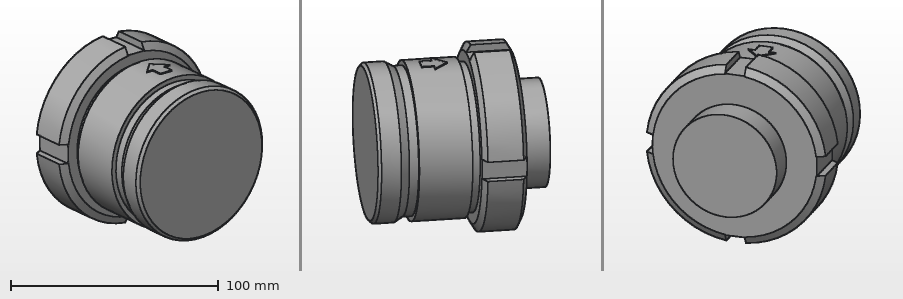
import cadquery as cq
import math

stub_length = 14.0
collar_width = 22.0
neck_length = 4.0
sleeve_length = 26.0
groove_floor_length = 4.5
collar_end = stub_length + collar_width
neck_end = collar_end + neck_length
sleeve_end = neck_end + sleeve_length
groove_end = sleeve_end + groove_floor_length
overall_length = 86.0

stub_radius = 26.5
collar_radius = 46.0
sleeve_radius = 39.0
groove_radius = 36.5

slot_count = 4
slot_width = 10.0
slot_depth = 4.0
slot_floor_radius = collar_radius - slot_depth

slope_angle = math.radians(30)
bevel_width = slot_depth * math.tan(slope_angle)
ramp_length = (sleeve_radius - groove_radius) / math.tan(slope_angle)
rim_chamfer = 1.5

arrow_tip = 46.0
arrow_head_length = 7.0
arrow_head_half_width = 7.0
arrow_shaft_length = 6.0
arrow_shaft_half_width = 3.5
arrow_thickness = 0.5


def make_turned_body():
    """Collar, neck, sleeve, groove and rim turned as one profile about X."""
    profile = [
        (stub_length, 0),
        (stub_length, slot_floor_radius),
        (stub_length + bevel_width, collar_radius),
        (collar_end - bevel_width, collar_radius),
        (collar_end, slot_floor_radius),
        (collar_end, groove_radius),
        (neck_end, groove_radius),
        (neck_end, sleeve_radius),
        (sleeve_end, sleeve_radius),
        (sleeve_end, groove_radius),
        (groove_end, groove_radius),
        (groove_end + ramp_length, sleeve_radius),
        (overall_length - rim_chamfer, sleeve_radius),
        (overall_length, sleeve_radius - rim_chamfer),
        (overall_length, 0),
    ]
    return cq.Workplane("XZ").polyline(profile).close().revolve(360, (0, 0, 0), (1, 0, 0))


def make_stub():
    """Plain round stub in front of the collar."""
    return cq.Workplane("YZ").circle(stub_radius).extrude(stub_length)


def make_slot_cutter(angle):
    """Block that cuts one flat-floored wrench slot across the collar rim."""
    block_height = slot_depth * 2
    block = cq.Workplane("XY").box(collar_width, slot_width, block_height, centered=(False, True, False))
    block = block.translate((stub_length, 0, slot_floor_radius))
    return block.rotate((0, 0, 0), (1, 0, 0), angle)


def make_valve_body():
    """Turned body with its stub and the evenly spaced wrench slots."""
    body = make_turned_body().union(make_stub())
    for index in range(slot_count):
        body = body.cut(make_slot_cutter(index * 360 / slot_count))
    return body


def make_flow_arrow():
    """Arrow plate whose flat underside touches the sleeve along its top line."""
    head_back = arrow_tip + arrow_head_length
    shaft_end = head_back + arrow_shaft_length
    outline = [
        (arrow_tip, 0),
        (head_back, arrow_head_half_width),
        (head_back, arrow_shaft_half_width),
        (shaft_end, arrow_shaft_half_width),
        (shaft_end, -arrow_shaft_half_width),
        (head_back, -arrow_shaft_half_width),
        (head_back, -arrow_head_half_width),
    ]
    plate = cq.Workplane("XY").polyline(outline).close().extrude(arrow_thickness)
    return plate.translate((0, 0, sleeve_radius))


valve_body = make_valve_body()
flow_arrow = make_flow_arrow()

result = cq.Compound.makeCompound([valve_body.val(), flow_arrow.val()])